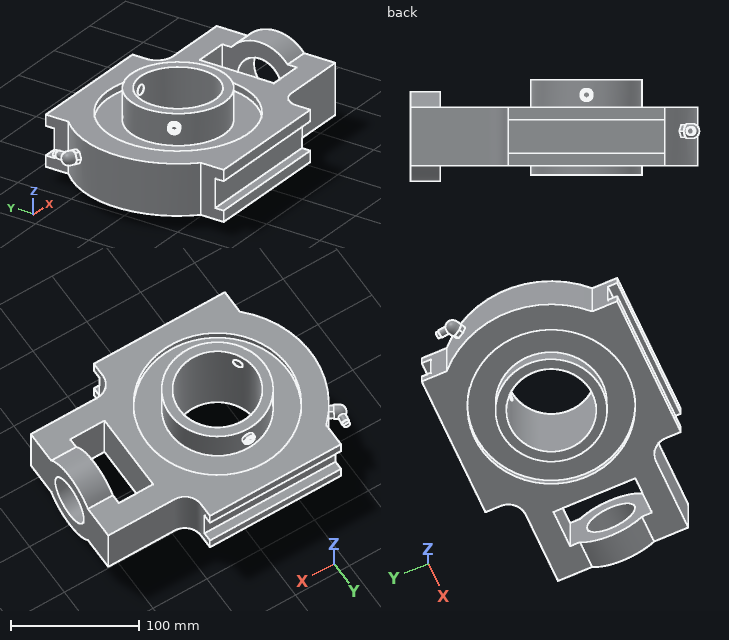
import cadquery as cq
import math


housing_thickness = 46.0
nose_radius = 87.0
body_half_length = 60.9
body_width = 167.0
body_half_width = body_width / 2
neck_half_width = 55.7
neck_fillet = 14.9
housing_end_x = 137.3
groove_width = 26.0
groove_depth = 8.0

window_start_x = 82.3
boss_length = 23.2
window_width = 69.9
boss_diameter = 70.0
screw_hole_diameter = 41.0
window_end_x = housing_end_x - boss_length

outer_ring_diameter = 131.0
outer_ring_width = 32.5
inner_ring_diameter = 87.0
bore_diameter = 70.0
inner_ring_top = 44.5
inner_ring_bottom = -30.2

set_screw_diameter = 10.0
set_screw_chamfer = 0.7
set_screw_tip_radius = 47.1
set_screw_height = 32.5
set_screw_angles = (90, 210)
socket_across_flats = 5.0
socket_depth = 3.4
socket_mouth_diameter = 6.5
socket_mouth_depth = 0.7
set_screw_hole_diameter = 8.5
screw_seat_radius = bore_diameter / 2 + 0.2

nipple_angle = 150
nipple_height = 4.3
nipple_ball_diameter = 11.5
nipple_ball_distance = 95.1
nipple_collar_length = 4.3
nipple_root_depth = 3.4
stem_angle = 83.5
stem_diameter = 6.5
stem_length = 11.0
stem_tip_diameter = 5.5
stem_tip_length = 2.7


def radial_plane(angle, distance, height):
    """Plane facing outward from the bearing axis at the given angle and distance."""
    direction = cq.Vector(math.cos(math.radians(angle)), math.sin(math.radians(angle)), 0)
    origin = direction * distance + cq.Vector(0, 0, height)
    return cq.Plane(origin=origin, xDir=(0, 0, 1), normal=direction)


def make_housing_block():
    shoulder_y = math.sqrt(nose_radius**2 - body_half_length**2)
    return (
        cq.Workplane("XY")
        .workplane(offset=-housing_thickness / 2)
        .moveTo(-body_half_length, shoulder_y)
        .threePointArc((-nose_radius, 0), (-body_half_length, -shoulder_y))
        .lineTo(-body_half_length, -body_half_width)
        .lineTo(body_half_length, -body_half_width)
        .lineTo(body_half_length, -neck_half_width - neck_fillet)
        .radiusArc((body_half_length + neck_fillet, -neck_half_width), neck_fillet)
        .lineTo(housing_end_x, -neck_half_width)
        .lineTo(housing_end_x, neck_half_width)
        .lineTo(body_half_length + neck_fillet, neck_half_width)
        .radiusArc((body_half_length, neck_half_width + neck_fillet), neck_fillet)
        .lineTo(body_half_length, body_half_width)
        .lineTo(-body_half_length, body_half_width)
        .close()
        .extrude(housing_thickness)
    )


def make_guide_grooves():
    return (
        cq.Workplane("XY")
        .pushPoints([(0, side * (body_half_width - groove_depth / 2)) for side in (-1, 1)])
        .box(2 * body_half_length, groove_depth, groove_width)
    )


def make_grease_nipple():
    """Elbow nipple: hexagon root, collar with a ball end, and a stepped stem."""
    root_distance = nose_radius - nipple_root_depth
    collar_start = nipple_ball_distance - nipple_collar_length
    hexagon = (
        cq.Workplane(radial_plane(nipple_angle, root_distance, nipple_height))
        .transformed(rotate=(0, 0, 90))
        .polygon(6, nipple_ball_diameter)
        .extrude(collar_start - root_distance)
    )
    ball_plane = radial_plane(nipple_angle, nipple_ball_distance, nipple_height)
    ball_radius = nipple_ball_diameter / 2
    diagonal = ball_radius / math.sqrt(2)
    domed_collar = (
        cq.Workplane(cq.Plane(origin=ball_plane.origin, xDir=ball_plane.xDir, normal=ball_plane.yDir))
        .moveTo(0, nipple_collar_length)
        .lineTo(ball_radius, nipple_collar_length)
        .lineTo(ball_radius, 0)
        .threePointArc((diagonal, -diagonal), (0, -ball_radius))
        .close()
        .revolve(360, (0, 0), (0, 1))
    )
    stem_direction = radial_plane(stem_angle, 0, 0).zDir
    stem = (
        cq.Workplane(cq.Plane(origin=ball_plane.origin, xDir=(0, 0, 1), normal=stem_direction))
        .circle(stem_diameter / 2)
        .extrude(stem_length)
        .faces(cq.selectors.DirectionMinMaxSelector(stem_direction))
        .workplane()
        .circle(stem_tip_diameter / 2)
        .extrude(stem_tip_length)
    )
    return hexagon.union(domed_collar).union(stem)


def make_housing():
    boss_plane = cq.Workplane("YZ").workplane(offset=window_end_x)
    boss = boss_plane.circle(boss_diameter / 2).extrude(boss_length)
    screw_hole = boss_plane.circle(screw_hole_diameter / 2).extrude(boss_length)
    window_length = window_end_x - window_start_x
    window = (
        cq.Workplane("XY")
        .center((window_start_x + window_end_x) / 2, 0)
        .box(window_length, window_width, housing_thickness)
    )
    bearing_seat = (
        cq.Workplane("XY")
        .workplane(offset=-housing_thickness / 2)
        .circle(outer_ring_diameter / 2)
        .extrude(housing_thickness)
    )
    return (
        make_housing_block()
        .union(boss)
        .cut(make_guide_grooves())
        .cut(window)
        .cut(screw_hole)
        .cut(bearing_seat)
        .union(make_grease_nipple())
    )


def make_set_screw(angle):
    """Set screw with a chamfered outer end and a hexagon socket."""
    seat_plane = radial_plane(angle, screw_seat_radius, set_screw_height)
    tip_plane = radial_plane(angle, set_screw_tip_radius, set_screw_height)
    screw = (
        cq.Workplane(seat_plane)
        .circle(set_screw_diameter / 2)
        .extrude(set_screw_tip_radius - screw_seat_radius)
        .faces(cq.selectors.DirectionMinMaxSelector(seat_plane.zDir))
        .chamfer(set_screw_chamfer)
    )
    socket = (
        cq.Workplane(tip_plane)
        .polygon(6, socket_across_flats / math.cos(math.pi / 6))
        .extrude(-socket_depth)
    )
    mouth = (
        cq.Workplane(tip_plane)
        .circle(socket_mouth_diameter / 2)
        .workplane(offset=-socket_mouth_depth)
        .circle(socket_across_flats / 2)
        .loft()
    )
    return screw.cut(socket).cut(mouth)


def make_set_screw_hole(angle):
    """Shallow round hole in the bore at the inner end of a set screw."""
    hole_plane = radial_plane(angle, 0, set_screw_height)
    return cq.Workplane(hole_plane).circle(set_screw_hole_diameter / 2).extrude(screw_seat_radius)


def make_bearing():
    outer_ring = (
        cq.Workplane("XY")
        .workplane(offset=-outer_ring_width / 2)
        .circle(outer_ring_diameter / 2)
        .extrude(outer_ring_width)
    )
    ring_base = cq.Workplane("XY").workplane(offset=inner_ring_bottom)
    ring_height = inner_ring_top - inner_ring_bottom
    inner_ring = ring_base.circle(inner_ring_diameter / 2).extrude(ring_height)
    bore = ring_base.circle(bore_diameter / 2).extrude(ring_height)
    bearing = outer_ring.union(inner_ring).cut(bore)
    for angle in set_screw_angles:
        bearing = bearing.cut(make_set_screw_hole(angle)).union(make_set_screw(angle))
    return bearing


housing = make_housing()
bearing = make_bearing()
result = cq.Compound.makeCompound([housing.val(), bearing.val()])